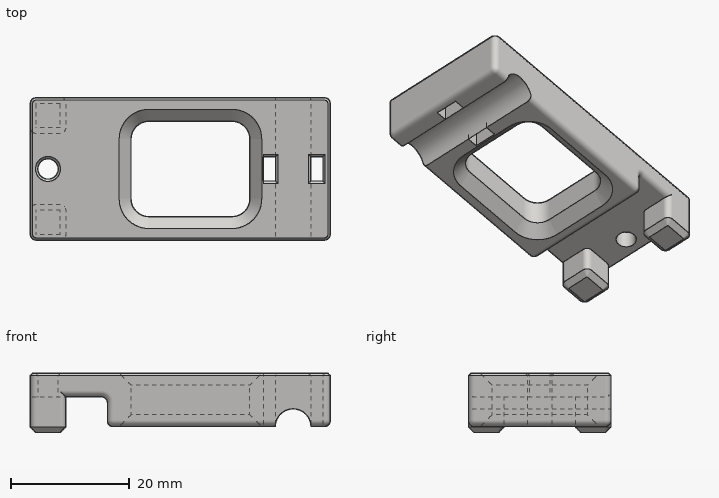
import cadquery as cq

LENGTH = 50.5
WIDTH = 24.0
HEIGHT = 10.0
EDGE_RADIUS = 1.0
SMALL_CHAMFER = 0.4

FOOT_SIZE = 6.0
FOOT_DROP = 1.0
FOOT_CHAMFER = 0.95
GAP_END = 13.0
CEILING = 6.0

WINDOW_X = 26.95
WINDOW_LENGTH = 19.95
WINDOW_WIDTH = 16.0
WINDOW_CORNER_RADIUS = 3.0
WINDOW_BEVEL = 2.0

SCREW_DIAMETER = 3.4
SCREW_X = FOOT_SIZE / 2

GROOVE_X = 44.25
GROOVE_RADIUS = 3.0
SLOT_SPACING = 8.0
SLOT_LENGTH = 2.0
SLOT_WIDTH = 4.05

HALF_WIDTH = WIDTH / 2
SELECTION_MARGIN = 0.05


def edges_in_slab(x_start, x_end, height, half_width=WIDTH):
    """Selector for edges whose centres lie at the given height, between two X positions."""
    return cq.selectors.BoxSelector(
        (x_start - SELECTION_MARGIN, -half_width, height - SELECTION_MARGIN),
        (x_end + SELECTION_MARGIN, half_width, height + SELECTION_MARGIN),
    )


def make_body():
    """Side profile of the plate, the deep block and a full-width bar at -X, extruded across Y."""
    profile = (
        cq.Workplane("XZ", origin=(0, HALF_WIDTH, 0))
        .moveTo(0, HEIGHT)
        .lineTo(LENGTH, HEIGHT)
        .lineTo(LENGTH, FOOT_DROP)
        .lineTo(GAP_END, FOOT_DROP)
        .lineTo(GAP_END, CEILING - EDGE_RADIUS)
        .radiusArc((GAP_END - EDGE_RADIUS, CEILING), -EDGE_RADIUS)
        .lineTo(FOOT_SIZE, CEILING)
        .lineTo(FOOT_SIZE, 0)
        .lineTo(0, 0)
        .close()
    )
    return profile.extrude(WIDTH)


def split_bar_into_feet(body):
    """Clear the middle of the bar, leaving one square foot at each side."""
    foot_gap = WIDTH - 2 * FOOT_SIZE
    clearance = cq.Workplane("XY").box(FOOT_SIZE, foot_gap, CEILING, centered=(False, True, False))
    return body.cut(clearance)


def finish_outer_edges(body):
    """Round the upright edges and the block's underside, then chamfer the feet and the top."""
    upright = cq.selectors.StringSyntaxSelector("|Z")
    block_underside = edges_in_slab(GAP_END, LENGTH, FOOT_DROP)
    body = body.edges(upright + block_underside).fillet(EDGE_RADIUS)
    body = body.faces("<Z").edges().chamfer(FOOT_CHAMFER)
    return body.faces(">Z").edges().chamfer(SMALL_CHAMFER)


def cut_window(body):
    """Open the window, bevel its top and bottom rims alike."""
    outline = cq.Sketch().rect(WINDOW_LENGTH, WINDOW_WIDTH).vertices().fillet(WINDOW_CORNER_RADIUS)
    opening = cq.Workplane("XY").center(WINDOW_X, 0).placeSketch(outline).extrude(HEIGHT)
    body = body.cut(opening)
    x_start = WINDOW_X - WINDOW_LENGTH / 2
    x_end = WINDOW_X + WINDOW_LENGTH / 2
    inside = WINDOW_WIDTH / 2 + SELECTION_MARGIN
    body = body.edges(edges_in_slab(x_start, x_end, HEIGHT, inside)).chamfer(WINDOW_BEVEL)
    return body.edges(edges_in_slab(x_start, x_end, FOOT_DROP, inside)).chamfer(WINDOW_BEVEL)


def cut_screw_hole(body):
    """Drill the hole between the feet and chamfer its top rim."""
    radius = SCREW_DIAMETER / 2
    body = body.cut(cq.Workplane("XY").center(SCREW_X, 0).circle(radius).extrude(HEIGHT))
    rim = edges_in_slab(SCREW_X - radius, SCREW_X + radius, HEIGHT, radius)
    return body.edges(rim).chamfer(SMALL_CHAMFER)


def cut_cable_groove(body):
    """Cut a half-round groove along Y, centred on the block's underside."""
    cable = cq.Workplane("XZ", origin=(GROOVE_X, HALF_WIDTH, FOOT_DROP)).circle(GROOVE_RADIUS)
    return body.cut(cable.extrude(WIDTH))


def cut_strap_slot(body, slot_x, first_chamfered_x):
    """Cut a rectangular through slot and chamfer its top rim from `first_chamfered_x` onward."""
    body = body.cut(cq.Workplane("XY").center(slot_x, 0).rect(SLOT_LENGTH, SLOT_WIDTH).extrude(HEIGHT))
    rim = edges_in_slab(first_chamfered_x, slot_x + SLOT_LENGTH / 2, HEIGHT, SLOT_WIDTH)
    return body.edges(rim).chamfer(SMALL_CHAMFER)


body = finish_outer_edges(split_bar_into_feet(make_body()))
body = cut_window(body)
body = cut_screw_hole(body)
body = cut_cable_groove(body)

near_slot_x = GROOVE_X - SLOT_SPACING / 2
far_slot_x = GROOVE_X + SLOT_SPACING / 2
body = cut_strap_slot(body, near_slot_x, near_slot_x)
body = cut_strap_slot(body, far_slot_x, far_slot_x - SLOT_LENGTH / 2)

result = body